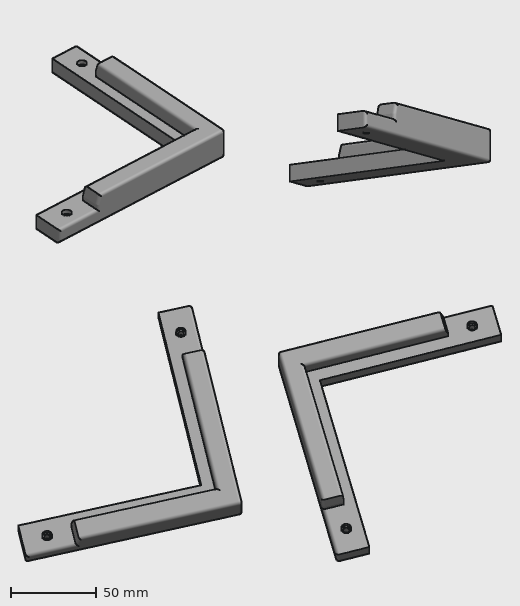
import cadquery as cq
import math

side = 130.0
base_width = 20.0
base_height = 10.0
total_height = 2 * base_height
rail_width = 12.7
rail_setback = 30.0
rail_upright = 3.2
end_angle = 15.0
round_radius = 2.0

hole_diameter = 3.5
counterbore_diameter = 5.8
counterbore_depth = 3.0
hole_setback = 15.0
hole_inset = 10.0

slope_start = base_height + rail_upright
slope_run = (total_height - slope_start) * math.tan(math.radians(end_angle))
hole_centres = [
    (hole_setback, side - hole_inset),
    (side - hole_inset, hole_setback),
]


def angle_block(setback, width, bottom, top):
    """L-shaped block whose outer corner lies at (side, side)."""
    inner = side - width
    outline = [
        (setback, side),
        (side, side),
        (side, setback),
        (inner, setback),
        (inner, inner),
        (setback, inner),
    ]
    return cq.Workplane("XY").workplane(offset=bottom).polyline(outline).close().extrude(top - bottom)


def make_base():
    """Lower arms, rounded all around their two outer faces."""
    block = angle_block(0, base_width, 0, base_height)
    return block.faces(">X or >Y").edges().fillet(round_radius)


def slope_rail_ends(rail):
    """Lean back the upper part of both rail ends."""
    profile = [
        (rail_setback, slope_start),
        (rail_setback + slope_run, total_height),
        (rail_setback, total_height),
    ]
    x_arm_wedge = cq.Workplane("XZ").polyline(profile).close().extrude(-side)
    y_arm_wedge = cq.Workplane("YZ").polyline(profile).close().extrude(side)
    return rail.cut(x_arm_wedge).cut(y_arm_wedge)


def make_rail():
    """Raised rail, sunk into the base so its outer faces continue those of the base."""
    rail = angle_block(rail_setback, rail_width, base_height - round_radius, total_height)
    rail = slope_rail_ends(rail)
    inner = side - rail_width
    x_arm_edge = cq.selectors.BoxSelector(
        (rail_setback + slope_run, inner - round_radius, total_height - round_radius),
        (inner + round_radius, inner + round_radius, total_height + round_radius),
    )
    y_arm_edge = cq.selectors.BoxSelector(
        (inner - round_radius, rail_setback + slope_run, total_height - round_radius),
        (inner + round_radius, inner + round_radius, total_height + round_radius),
    )
    rail = rail.edges(x_arm_edge + y_arm_edge).fillet(round_radius)
    return rail.faces(">X or >Y").edges("not <Z").fillet(round_radius)


def drill_holes(body):
    """Counterbored through holes, entered from the top of the base."""
    top = cq.Workplane("XY").workplane(offset=base_height).pushPoints(hole_centres)
    bores = top.circle(hole_diameter / 2).extrude(-base_height)
    counterbores = top.circle(counterbore_diameter / 2).extrude(-counterbore_depth)
    return body.cut(bores).cut(counterbores)


result = drill_holes(make_base().union(make_rail()))